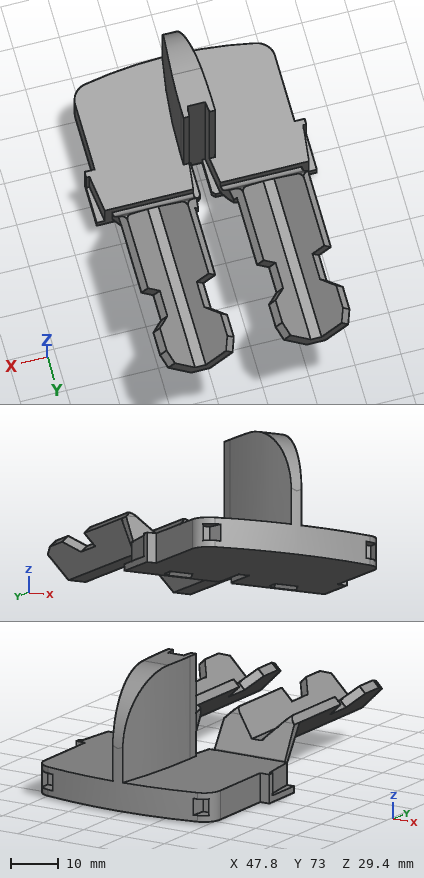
import cadquery as cq
import math

span = 145.95
length = 73.0
draft = math.tan(math.radians(7))

base_width = 43.4
base_back = 31.45
base_height = 6.35
front_rise = 2.6
corner_radius = 4.0
tab_width = 47.8
tab_front = 21.6

ledge_height = 1.45
recess_front = 23.0
recess_half_width = 23.2
gap_half_width = 1.9
slot_half_width = 1.25
slot_chamfer = 0.65

fin_height = 28.7
fin_back = 25.4
fin_half_width = 3.4
fin_front_half_width = 1.25
fin_radius = 15.0

arm_offset = 12.55
arm_half_width = 8.0
sheet = 2.05
channel_floor = 9.05
channel_half_floor = 1.2
arm_start = 38.9

edge_run = sheet / math.sqrt(2)
peak_half_width = arm_half_width - edge_run
peak_height = channel_floor + peak_half_width - channel_half_floor
edge_height = peak_height - edge_run
under_floor = channel_floor - sheet
under_half_floor = channel_half_floor + sheet * math.tan(math.radians(22.5))

tip_depth = 1.45
tip_start = 70.1
notch_depth = 3.65
notch_ramp_end = 64.7
notch_ramp_start = 61.2
notch_start = 55.1

root_top = 4.45
root_bottom = 2.25
root_bend = 32.0
root_overlap = 1.1
root_slope_top = 37.5
root_slope_foot = 32.3
root_top_radius = 2.2
root_foot_radius = 2.9
root_inner_reach = 9.1
root_inner_height = 11.3

ridge_width = 5.3
ridge_depth = 0.7
ridge_back = 29.7
ridge_peak = 28.0
ridge_front = 27.3

pocket_bottom = 1.4
pocket_height = 3.6
pocket_outer = 20.6
pocket_inner = 17.95
pocket_mouth_left = 17.15
pocket_mouth_right = 17.65
pocket_mouth_y = 1.6
pocket_end = 5.1


def prism_y(points, start, end):
    """Extrude an XZ outline from y = start to y = end."""
    return cq.Workplane("XZ", origin=(0, start, 0)).polyline(points).close().extrude(start - end)


def prism_z(points, bottom, top):
    """Extrude an XY outline from z = bottom to z = top."""
    return cq.Workplane("XY", origin=(0, 0, bottom)).polyline(points).close().extrude(top - bottom)


def both_sides(solid):
    return solid.union(solid.mirror("YZ"))


def make_plate(height):
    """Base outline with its bowed front and rounded front corners."""
    half = base_width / 2
    return (
        cq.Workplane("XY")
        .moveTo(half, base_back)
        .lineTo(half, front_rise)
        .threePointArc((0, 0), (-half, front_rise))
        .lineTo(-half, base_back)
        .close()
        .extrude(height)
        .edges("|Z")
        .edges("<Y")
        .fillet(corner_radius)
    )


def make_base():
    half = tab_width / 2
    tabs = prism_z(
        [(-half, tab_front), (half, tab_front), (half, base_back), (-half, base_back)],
        0,
        base_height,
    )
    return make_plate(base_height).union(tabs)


def make_fin():
    side = (
        cq.Workplane("YZ")
        .moveTo(0, 0)
        .lineTo(0, fin_height - fin_radius)
        .radiusArc((fin_radius, fin_height), fin_radius)
        .lineTo(fin_back, fin_height)
        .lineTo(fin_back, 0)
        .close()
        .extrude(span / 2, both=True)
    )
    narrowing = fin_half_width - fin_front_half_width
    flank_radius = (recess_front ** 2 + narrowing ** 2) / (2 * narrowing)
    plan = (
        cq.Workplane("XY")
        .moveTo(fin_half_width, fin_back)
        .lineTo(fin_half_width, recess_front)
        .radiusArc((fin_front_half_width, 0), flank_radius)
        .lineTo(-fin_front_half_width, 0)
        .radiusArc((-fin_half_width, recess_front), flank_radius)
        .lineTo(-fin_half_width, fin_back)
        .close()
        .extrude(fin_height)
    )
    return side.intersect(plan).intersect(make_plate(fin_height))


def make_side_recess():
    """Notch in the back right corner, leaving a thin ledge at the bottom."""
    back_half_width = recess_half_width - draft * (base_back - recess_front)
    outline = [
        (span, recess_front),
        (recess_half_width, recess_front),
        (back_half_width, base_back),
        (span, base_back),
    ]
    return prism_z(outline, ledge_height, base_height)


def gap_half_width_at(y):
    """Half the width of the tapered gap between the arms."""
    return gap_half_width + draft * (y - recess_front)


def make_gap():
    """Tapered gap through fin and base down to the ledge, with a straight slot through the ledge."""
    back_half_width = gap_half_width_at(base_back)
    taper = [
        (-gap_half_width, recess_front),
        (gap_half_width, recess_front),
        (back_half_width, base_back),
        (-back_half_width, base_back),
    ]
    mouth_half_width = slot_half_width + slot_chamfer
    slot = [
        (-slot_half_width, recess_front),
        (slot_half_width, recess_front),
        (slot_half_width, base_back - slot_chamfer),
        (mouth_half_width, base_back),
        (-mouth_half_width, base_back),
        (-slot_half_width, base_back - slot_chamfer),
    ]
    return prism_z(taper, ledge_height, fin_height).union(prism_z(slot, 0, fin_height))


def make_pocket(side, mouth):
    """Pocket in a front corner; side is -1 for left and 1 for right."""
    outline = [
        (side * pocket_outer, 0),
        (side * mouth, 0),
        (side * mouth, pocket_mouth_y),
        (side * pocket_inner, pocket_end),
        (side * pocket_outer, pocket_end),
    ]
    return prism_z(outline, pocket_bottom, pocket_bottom + pocket_height)


def make_ridge():
    outline = [(ridge_front, 0), (ridge_peak, -ridge_depth), (ridge_back, 0)]
    ridge = cq.Workplane("YZ").polyline(outline).close().extrude(ridge_width / 2, both=True)
    return ridge.translate((arm_offset, 0, 0))


def make_channel_envelope(half_width, start, end):
    """Everything below the channel's inner faces and flange edges, centred on X = 0."""
    side_height = peak_height - (half_width - peak_half_width)
    outline = [
        (-half_width, 0),
        (-half_width, side_height),
        (-peak_half_width, peak_height),
        (-channel_half_floor, channel_floor),
        (channel_half_floor, channel_floor),
        (peak_half_width, peak_height),
        (half_width, side_height),
        (half_width, 0),
    ]
    return prism_y(outline, start, end)


def make_flange_cut():
    """Snap notch and tip bevel, cut square through the right flange of the channel."""
    flange = cq.Plane(origin=(peak_half_width, 0, peak_height), xDir=(0, 1, 0), normal=(-1, 0, 1))
    clear = -0.7
    reach = 1.5 * sheet
    notch = [
        (notch_start, clear),
        (notch_start, notch_depth),
        (notch_ramp_start, notch_depth),
        (notch_ramp_end, 0),
        (notch_ramp_end, clear),
    ]
    tip = [(tip_start, clear), (tip_start, 0), (length, tip_depth), (length, clear)]
    notch_cut = cq.Workplane(flange).polyline(notch).close().extrude(reach, both=True)
    tip_cut = cq.Workplane(flange).polyline(tip).close().extrude(reach, both=True)
    return notch_cut.union(tip_cut)


def make_channel():
    underside = [
        (-arm_half_width, 0),
        (-arm_half_width, edge_height),
        (-under_half_floor, under_floor),
        (under_half_floor, under_floor),
        (arm_half_width, edge_height),
        (arm_half_width, 0),
    ]
    channel = make_channel_envelope(arm_half_width, arm_start, length)
    channel = channel.cut(prism_y(underside, arm_start, length))
    return channel.cut(both_sides(make_flange_cut()))


def make_root():
    """Sloping sheet from the channel to the base, its inner edge following the tapered gap."""
    root_end = base_back - root_overlap
    side = (
        cq.Workplane("YZ")
        .moveTo(root_end, 0)
        .lineTo(root_end, root_top)
        .lineTo(root_slope_foot, root_top)
        .lineTo(root_slope_top, peak_height)
        .lineTo(arm_start, peak_height)
        .lineTo(arm_start, 0)
        .close()
        .extrude(span / 2, both=True)
    )
    top_bend = cq.NearestToPointSelector((0, root_slope_top, peak_height))
    foot_bend = cq.NearestToPointSelector((0, root_slope_foot, root_top))
    side = side.edges(top_bend).fillet(root_top_radius).edges(foot_bend).fillet(root_foot_radius)
    plan = prism_z(
        [
            (gap_half_width_at(root_end) - arm_offset, root_end),
            (gap_half_width_at(arm_start) - arm_offset, arm_start),
            (arm_half_width, arm_start),
            (arm_half_width, root_end),
        ],
        0,
        peak_height,
    )
    at_channel = [
        (-root_inner_reach, 0),
        (-root_inner_reach, root_inner_height),
        (-under_half_floor, under_floor),
        (under_half_floor, under_floor),
        (arm_half_width, edge_height),
        (arm_half_width, 0),
    ]
    at_base = [
        (-arm_offset, 0),
        (-arm_offset, root_bottom),
        (-under_half_floor, root_bottom),
        (under_half_floor, root_bottom),
        (arm_half_width, root_bottom),
        (arm_half_width, 0),
    ]
    below = (
        cq.Workplane("XZ", origin=(0, arm_start, 0))
        .polyline(at_channel)
        .close()
        .workplane(offset=arm_start - root_bend)
        .polyline(at_base)
        .close()
        .loft(ruled=True)
        .union(prism_y(at_base, root_end, root_bend))
    )
    envelope = make_channel_envelope(arm_offset, root_end, arm_start)
    return side.intersect(plan).intersect(envelope).cut(below)


holder = make_base().union(make_fin()).cut(make_gap()).cut(both_sides(make_side_recess()))
holder = holder.cut(make_pocket(-1, pocket_mouth_left)).cut(make_pocket(1, pocket_mouth_right))
right_arm = make_channel().union(make_root()).translate((arm_offset, 0, 0))
result = holder.union(both_sides(right_arm)).union(both_sides(make_ridge()))